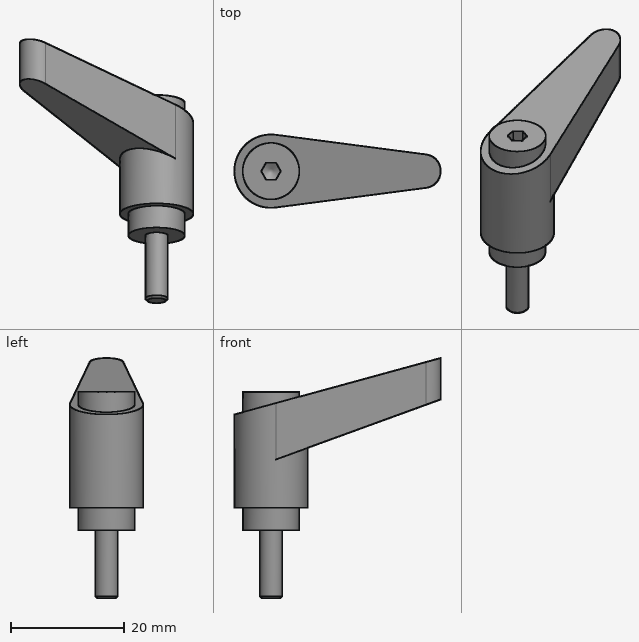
import cadquery as cq
import math

STUD_DIAMETER = 4.0
STUD_LENGTH = 12.0
STUD_CHAMFER = 0.4
COLLAR_DIAMETER = 10.0
COLLAR_HEIGHT = 4.0

HUB_RADIUS = 6.5
TIP_RADIUS = 3.0
OVERALL_LENGTH = 36.5
TIP_X = OVERALL_LENGTH - HUB_RADIUS - TIP_RADIUS
TIP_TOP_Z = 30.5
HUB_LOW_Z = 20.5
TOP_SLOPE = math.atan((TIP_TOP_Z - HUB_LOW_Z) / OVERALL_LENGTH)
UNDERSIDE_SLOPE = math.radians(20.0)
TIP_EDGE_HEIGHT = 7.35

BUTTON_DIAMETER = 10.0
BUTTON_TOP_Z = 24.5
SOCKET_FLATS = 3.0
SOCKET_DEPTH = 3.0
SOCKET_CONE_ANGLE = math.radians(120.0)

FLANK_ANGLE = math.asin((HUB_RADIUS - TIP_RADIUS) / TIP_X)
ARM_END_X = TIP_X + TIP_RADIUS


def flank_point(center_x, radius, side):
    """Tangent point of a flank on a circle of the plan outline; side is +1 or -1."""
    return (
        center_x + radius * math.sin(FLANK_ANGLE),
        side * radius * math.cos(FLANK_ANGLE),
    )


def top_z(x):
    """Height of the sloping top face."""
    return TIP_TOP_Z - (ARM_END_X - x) * math.tan(TOP_SLOPE)


def underside_z(x):
    """Height of the sloping underside of the arm."""
    return TIP_TOP_Z - TIP_EDGE_HEIGHT - (ARM_END_X - x) * math.tan(UNDERSIDE_SLOPE)


def side_profile(points):
    """Prism across the full lever width, from an outline in the XZ plane."""
    return cq.Workplane("XZ").polyline(points).close().extrude(HUB_RADIUS, both=True)


def make_hub():
    hub = (
        cq.Workplane("XY")
        .workplane(offset=COLLAR_HEIGHT)
        .circle(HUB_RADIUS)
        .extrude(TIP_TOP_Z - COLLAR_HEIGHT)
    )
    below_top = side_profile([
        (-HUB_RADIUS, 0),
        (HUB_RADIUS, 0),
        (HUB_RADIUS, top_z(HUB_RADIUS)),
        (-HUB_RADIUS, top_z(-HUB_RADIUS)),
    ])
    return hub.intersect(below_top)


def make_arm():
    hub_right = flank_point(0, HUB_RADIUS, -1)
    hub_left = flank_point(0, HUB_RADIUS, 1)
    plan = (
        cq.Workplane("XY")
        .moveTo(*hub_right)
        .lineTo(*flank_point(TIP_X, TIP_RADIUS, -1))
        .threePointArc((ARM_END_X, 0), flank_point(TIP_X, TIP_RADIUS, 1))
        .lineTo(*hub_left)
        .close()
        .extrude(TIP_TOP_Z)
    )
    start_x = hub_right[0]
    wedge = side_profile([
        (start_x, underside_z(start_x)),
        (ARM_END_X, underside_z(ARM_END_X)),
        (ARM_END_X, top_z(ARM_END_X)),
        (start_x, top_z(start_x)),
    ])
    return plan.intersect(wedge)


def make_stud():
    collar = cq.Workplane("XY").circle(COLLAR_DIAMETER / 2).extrude(COLLAR_HEIGHT)
    stud = (
        cq.Workplane("XY")
        .circle(STUD_DIAMETER / 2)
        .extrude(-STUD_LENGTH)
        .faces("<Z")
        .chamfer(STUD_CHAMFER)
    )
    return collar.union(stud)


def make_button():
    return (
        cq.Workplane("XY")
        .workplane(offset=COLLAR_HEIGHT)
        .circle(BUTTON_DIAMETER / 2)
        .extrude(BUTTON_TOP_Z - COLLAR_HEIGHT)
    )


def make_socket():
    """Hexagon socket whose floor is a drill cone reaching out to the hexagon corners."""
    corner_radius = SOCKET_FLATS / 2 / math.cos(math.pi / 6)
    cone_depth = corner_radius / math.tan(SOCKET_CONE_ANGLE / 2)
    cone_rim_z = BUTTON_TOP_Z - SOCKET_DEPTH
    hexagon = (
        cq.Workplane("XY")
        .workplane(offset=BUTTON_TOP_Z)
        .polygon(6, 2 * corner_radius)
        .extrude(-SOCKET_DEPTH - cone_depth)
    )
    drilled_bore = (
        cq.Workplane("XZ")
        .polyline([
            (0, BUTTON_TOP_Z),
            (corner_radius, BUTTON_TOP_Z),
            (corner_radius, cone_rim_z),
            (0, cone_rim_z - cone_depth),
        ])
        .close()
        .revolve(360, (0, 0, 0), (0, 1, 0))
    )
    return hexagon.intersect(drilled_bore)


result = (
    make_hub()
    .union(make_arm())
    .union(make_stud())
    .union(make_button())
    .cut(make_socket())
)